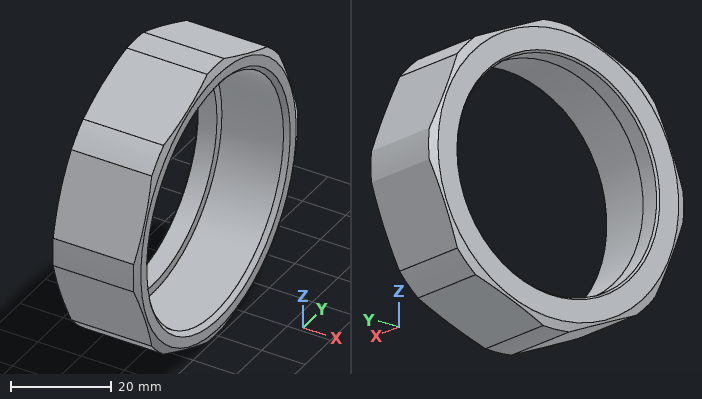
import cadquery as cq
import math

width = 20.0
corner_diameter = 64.7
across_flats = 61.95
side_count = 8
face_diameter = 61.0
face_bevel_angle = 20.0
lip_bore_diameter = 50.5
main_bore_diameter = 54.4
lip_length = 4.8
lip_chamfer = 0.45
main_bore_chamfer = 1.0

corner_radius = corner_diameter / 2
face_radius = face_diameter / 2
lip_radius = lip_bore_diameter / 2
main_radius = main_bore_diameter / 2
front = -width / 2
back = width / 2
lip_end = front + lip_length
bevel_depth = (corner_radius - face_radius) * math.tan(math.radians(face_bevel_angle))


def octagonal_prism():
    """Octagon with corners on the Y and Z axes, extruded along X."""
    sharp_corner_diameter = across_flats / math.cos(math.pi / side_count)
    return (
        cq.Workplane("YZ")
        .polygon(side_count, sharp_corner_diameter)
        .extrude(width / 2, both=True)
    )


def ring_envelope():
    """Ring of revolution: rounded corners, bevelled faces and stepped bore."""
    half_section = [
        (front, lip_radius + lip_chamfer),
        (front, face_radius),
        (front + bevel_depth, corner_radius),
        (back - bevel_depth, corner_radius),
        (back, face_radius),
        (back, main_radius + main_bore_chamfer),
        (back - main_bore_chamfer, main_radius),
        (lip_end, main_radius),
        (lip_end, lip_radius),
        (front + lip_chamfer, lip_radius),
    ]
    return (
        cq.Workplane("XY")
        .polyline(half_section)
        .close()
        .revolve(360, (0, 0, 0), (1, 0, 0))
    )


result = octagonal_prism().intersect(ring_envelope())